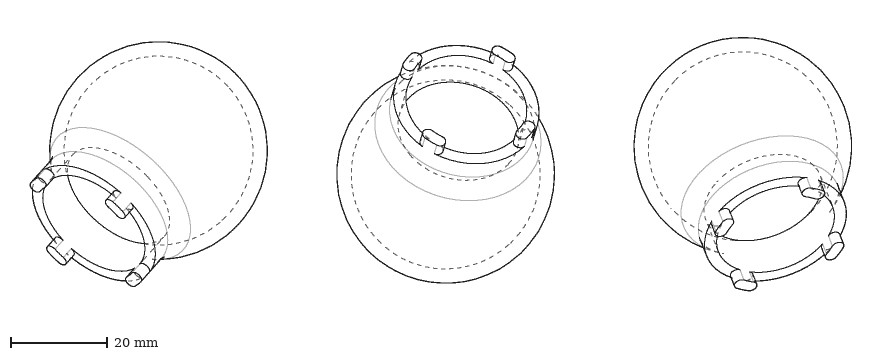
import cadquery as cq
import math

globe_diameter = 45.25
wall = 3.0
overall_length = 49.75
neck_diameter = 30.7
bore_diameter = 25.5
neck_length = 4.65
pin_length = 3.0
flare_start = 14.3
pin_count = 4
pin_angle = 58.4
pin_chord = 2.7

globe_radius = globe_diameter / 2
cavity_radius = globe_radius - wall
neck_radius = neck_diameter / 2
bore_radius = bore_diameter / 2
pin_pitch = 360 / pin_count
pin_tip = overall_length - globe_radius
rim = pin_tip - pin_length
neck_start = rim - neck_length
flare_radius = math.sqrt(globe_radius**2 - flare_start**2)
cavity_end = math.sqrt(cavity_radius**2 - bore_radius**2)


def make_shell():
    """Revolve the wall section: globe, concave flare, neck to the pin tips, bore and cavity."""
    section = (
        cq.Workplane("XY")
        .moveTo(neck_radius, -pin_tip)
        .lineTo(neck_radius, -neck_start)
        .tangentArcPoint((flare_radius, -flare_start), relative=False)
        .threePointArc((globe_radius, 0), (0, globe_radius))
        .lineTo(0, cavity_radius)
        .threePointArc((cavity_radius, 0), (bore_radius, -cavity_end))
        .lineTo(bore_radius, -pin_tip)
        .close()
    )
    return section.revolve(360, (0, 0, 0), (0, 1, 0))


def polar(radius, degrees):
    """Return the point at a given radius and direction in the neck's end plane."""
    turn = math.radians(degrees)
    return radius * math.cos(turn), radius * math.sin(turn)


def make_gap(first_pin_angle):
    """Make the ring segment removed between one pin and the next, leaving round pin ends."""
    middle_radius = (neck_radius + bore_radius) / 2
    end_radius = (neck_radius - bore_radius) / 2
    half_sweep = math.degrees(math.asin(pin_chord / 2 / middle_radius))
    end_bulge = math.degrees(end_radius / middle_radius)

    start = first_pin_angle + half_sweep
    stop = first_pin_angle + pin_pitch - half_sweep
    middle = (start + stop) / 2
    return (
        cq.Workplane("XZ", origin=(0, -rim, 0))
        .moveTo(*polar(neck_radius, start))
        .threePointArc(polar(middle_radius, start + end_bulge), polar(bore_radius, start))
        .threePointArc(polar(bore_radius, middle), polar(bore_radius, stop))
        .threePointArc(polar(middle_radius, stop - end_bulge), polar(neck_radius, stop))
        .threePointArc(polar(neck_radius, middle), polar(neck_radius, start))
        .close()
        .extrude(pin_length)
    )


result = make_shell()
for index in range(pin_count):
    result = result.cut(make_gap(pin_angle + index * pin_pitch))